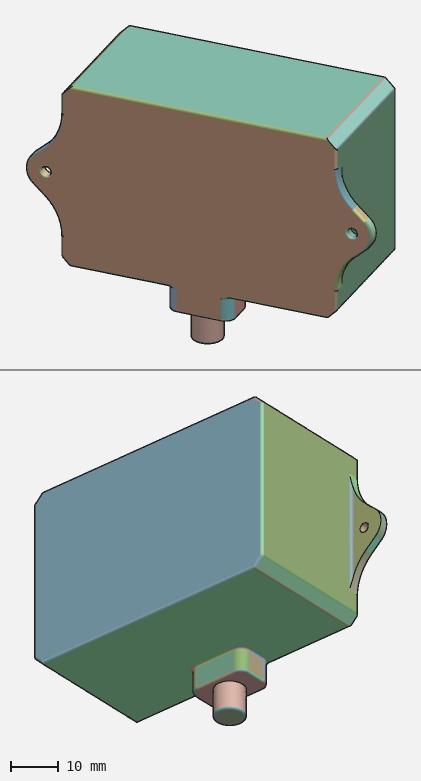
import cadquery as cq
import math

OVERALL_WIDTH = 79.45
OVERALL_HEIGHT = 55.3

HOUSING_WIDTH = 63.25
HOUSING_DEPTH = 31.1
HOUSING_HEIGHT = 42.6
CORNER_CHAMFER = 2.3
CORNER_ROUND = 0.6
HOUSING_EDGE_ROUND = 0.55
EDGE_ROUND = 0.5

EAR_THICKNESS = 2.2
EAR_TIP_RADIUS = 4.6
EAR_ROOT_RADIUS = 11.5
EAR_FLANK_ANGLE = math.radians(48.5)
EAR_BACK_FILLET = 0.6
HOLE_DIAMETER = 2.2
HOLE_EDGE_ROUND = 0.3

BOSS_WIDTH = 14.9
BOSS_DEPTH = 9.2
BOSS_LENGTH = 5.8
BOSS_CORNER_RADIUS = 2.4
BOSS_ROOT_FILLET = 0.5

PLUG_DIAMETER = 7.0

TRIM_ALLOWANCE = 4.0
SEARCH_MARGIN = 0.15

HALF_WIDTH = HOUSING_WIDTH / 2
HOUSING_TOP = HOUSING_HEIGHT / 2
HOUSING_BOTTOM = -HOUSING_TOP
BOSS_BOTTOM = HOUSING_BOTTOM - BOSS_LENGTH
PLUG_BOTTOM = HOUSING_TOP - OVERALL_HEIGHT
HOLE_X = OVERALL_WIDTH / 2 - EAR_TIP_RADIUS


def make_block(depth):
    """Sharp-edged block with the housing outline, ending at the back of the housing."""
    return cq.Workplane("XY", origin=(0, HOUSING_DEPTH - depth, 0)).box(
        HOUSING_WIDTH, depth, HOUSING_HEIGHT, centered=(True, False, True)
    )


def make_corner_waste():
    """Material outside the chamfered and softened long corners of the housing."""
    block = make_block(HOUSING_DEPTH)
    outline = block.edges("|Y").chamfer(CORNER_CHAMFER).edges("|Y").fillet(CORNER_ROUND)
    return block.cut(outline)


def make_boss():
    """Rounded cable boss reaching up into the housing, flush with the mounting face."""
    return (
        cq.Workplane("XY", origin=(0, BOSS_DEPTH / 2, BOSS_BOTTOM))
        .rect(BOSS_WIDTH, BOSS_DEPTH)
        .extrude(BOSS_LENGTH + BOSS_DEPTH)
        .edges("|Z")
        .fillet(BOSS_CORNER_RADIUS)
        .faces("<Z")
        .edges()
        .fillet(EDGE_ROUND)
    )


def make_plug():
    """Round plug below the boss with a softened end."""
    return (
        cq.Workplane("XY", origin=(0, BOSS_DEPTH / 2, PLUG_BOTTOM))
        .circle(PLUG_DIAMETER / 2)
        .extrude(BOSS_BOTTOM - PLUG_BOTTOM + EDGE_ROUND)
        .faces("<Z")
        .edges()
        .fillet(EDGE_ROUND)
    )


def make_body():
    """Housing and boss blended together, with softened edges and chamfered corners."""
    body = make_block(HOUSING_DEPTH + TRIM_ALLOWANCE).union(make_boss())
    seam = cq.selectors.BoxSelector(
        (-BOSS_WIDTH / 2 - SEARCH_MARGIN, -SEARCH_MARGIN, HOUSING_BOTTOM - SEARCH_MARGIN),
        (BOSS_WIDTH / 2 + SEARCH_MARGIN, BOSS_DEPTH + SEARCH_MARGIN, HOUSING_BOTTOM + SEARCH_MARGIN),
    )
    body = body.edges(seam).fillet(BOSS_ROOT_FILLET)
    front_stock = cq.Workplane("XY", origin=(0, -TRIM_ALLOWANCE, 0)).box(
        OVERALL_WIDTH, TRIM_ALLOWANCE, 2 * OVERALL_HEIGHT, centered=(True, False, True)
    )
    body = body.cut(front_stock)

    housing_zone = cq.selectors.BoxSelector(
        (-OVERALL_WIDTH, -SEARCH_MARGIN, HOUSING_BOTTOM - SEARCH_MARGIN),
        (OVERALL_WIDTH, SEARCH_MARGIN, HOUSING_TOP + SEARCH_MARGIN),
    )
    body = body.faces("<Y").edges("|X or |Z").edges(housing_zone).fillet(HOUSING_EDGE_ROUND)
    body = body.cut(make_corner_waste())
    return body.faces(">Y").edges().fillet(HOUSING_EDGE_ROUND)


def make_ear():
    """Bell-shaped mounting ear on the +X side with its screw hole."""
    cos_a = math.cos(EAR_FLANK_ANGLE)
    sin_a = math.sin(EAR_FLANK_ANGLE)
    tip_x = HOLE_X + EAR_TIP_RADIUS * cos_a
    tip_z = EAR_TIP_RADIUS * sin_a

    arc_center_x = HALF_WIDTH + EAR_ROOT_RADIUS
    flank_x = arc_center_x - EAR_ROOT_RADIUS * cos_a
    flank_z = tip_z + (tip_x - flank_x) * cos_a / sin_a
    root_z = flank_z + EAR_ROOT_RADIUS * sin_a
    arc_mid_x = arc_center_x - EAR_ROOT_RADIUS * math.cos(EAR_FLANK_ANGLE / 2)
    arc_mid_z = root_z - EAR_ROOT_RADIUS * math.sin(EAR_FLANK_ANGLE / 2)
    inner_x = HALF_WIDTH - CORNER_CHAMFER

    def bell_plate(thickness):
        return (
            cq.Workplane("XZ")
            .moveTo(inner_x, root_z)
            .lineTo(HALF_WIDTH, root_z)
            .threePointArc((arc_mid_x, arc_mid_z), (flank_x, flank_z))
            .lineTo(tip_x, tip_z)
            .threePointArc((OVERALL_WIDTH / 2, 0), (tip_x, -tip_z))
            .lineTo(flank_x, -flank_z)
            .threePointArc((arc_mid_x, -arc_mid_z), (HALF_WIDTH, -root_z))
            .lineTo(inner_x, -root_z)
            .close()
            .extrude(-thickness)
        )

    rim = cq.selectors.BoxSelector(
        (HALF_WIDTH + SEARCH_MARGIN, -SEARCH_MARGIN, -root_z),
        (OVERALL_WIDTH, SEARCH_MARGIN, root_z),
    )
    ear = bell_plate(EAR_THICKNESS).edges(rim).fillet(EDGE_ROUND)

    fillet_top = EAR_THICKNESS + EAR_BACK_FILLET
    arc_reach = EAR_BACK_FILLET * (1 - math.sqrt(0.5))
    back_fillet = (
        cq.Workplane("XY", origin=(0, 0, -root_z))
        .moveTo(inner_x, EAR_THICKNESS - EDGE_ROUND)
        .lineTo(HALF_WIDTH + EAR_BACK_FILLET, EAR_THICKNESS - EDGE_ROUND)
        .lineTo(HALF_WIDTH + EAR_BACK_FILLET, EAR_THICKNESS)
        .threePointArc((HALF_WIDTH + arc_reach, EAR_THICKNESS + arc_reach), (HALF_WIDTH, fillet_top))
        .lineTo(inner_x, fillet_top)
        .close()
        .extrude(2 * root_z)
        .intersect(bell_plate(fillet_top))
    )

    hole = cq.Workplane("XZ").center(HOLE_X, 0).circle(HOLE_DIAMETER / 2).extrude(-EAR_THICKNESS)
    hole_rim = cq.selectors.BoxSelector(
        (HOLE_X - HOLE_DIAMETER, -SEARCH_MARGIN, -HOLE_DIAMETER),
        (HOLE_X + HOLE_DIAMETER, SEARCH_MARGIN, HOLE_DIAMETER),
    )
    ear = ear.cut(hole).faces("<Y").edges(hole_rim).fillet(HOLE_EDGE_ROUND)
    return ear.union(back_fillet)


right_ear = make_ear()
left_ear = right_ear.mirror("YZ")
result = make_body().union(make_plug()).union(right_ear).union(left_ear)